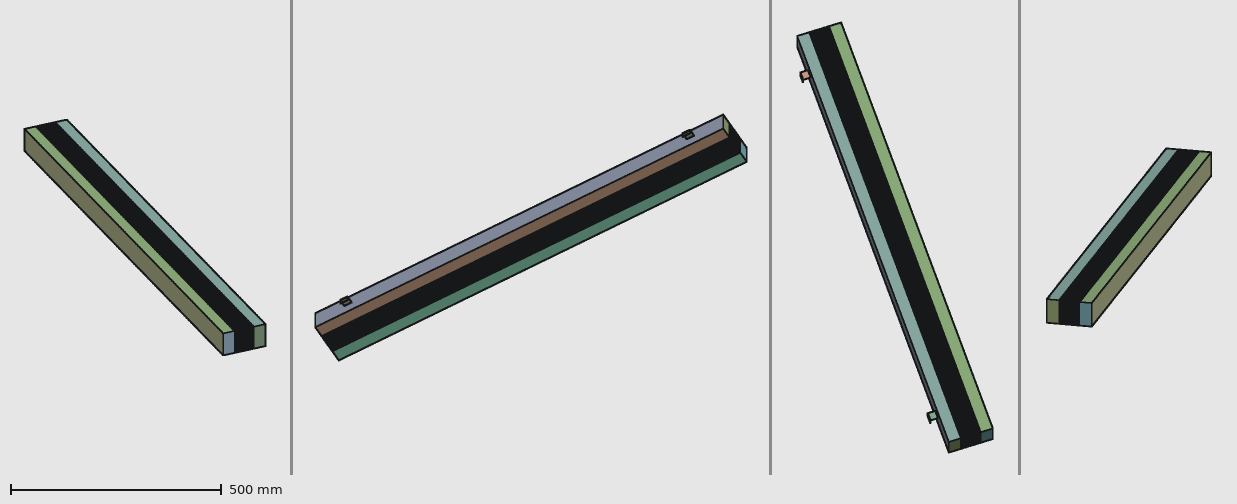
import cadquery as cq

length = 1123.0
overall_depth = 130.0
height = 60.0

hook_thickness = 1.7
hook_stem = 18.0
hook_width = 20.0
hook_drop = 15.0
hook_spacing = 942.0
hook_rise = 1.0
hook_top = height / 2 + hook_rise
hook_reach = hook_stem + hook_thickness

depth = overall_depth - hook_reach

groove_count = 17
band_depth = 49.0
groove_width = band_depth / (2 * groove_count - 1)
groove_pitch = 2 * groove_width
groove_depth = groove_width


def make_bar():
    return cq.Workplane("XY").box(length, depth, height, centered=(True, True, False))


def make_grooves():
    """Closed loops, each running around the top, bottom and both ends of the bar."""
    core = (
        cq.Workplane("XY")
        .workplane(offset=groove_depth)
        .rect(length - 2 * groove_depth, depth)
        .extrude(height - 2 * groove_depth)
    )
    return (
        cq.Workplane("XY")
        .rarray(length, groove_pitch, 1, groove_count)
        .rect(length, groove_width)
        .extrude(height)
        .cut(core)
    )


def make_hook(x_center):
    rear = depth / 2
    tip = rear + hook_reach
    lip_inside = tip - hook_thickness
    stem_underside = hook_top - hook_thickness
    lip_bottom = hook_top - hook_drop
    return (
        cq.Workplane("YZ", origin=(x_center - hook_width / 2, 0, 0))
        .moveTo(rear, hook_top)
        .lineTo(tip, hook_top)
        .lineTo(tip, lip_bottom)
        .lineTo(lip_inside, lip_bottom)
        .lineTo(lip_inside, stem_underside)
        .lineTo(rear, stem_underside)
        .close()
        .extrude(hook_width)
    )


result = make_bar().cut(make_grooves())
for side in (-1, 1):
    result = result.union(make_hook(side * hook_spacing / 2))